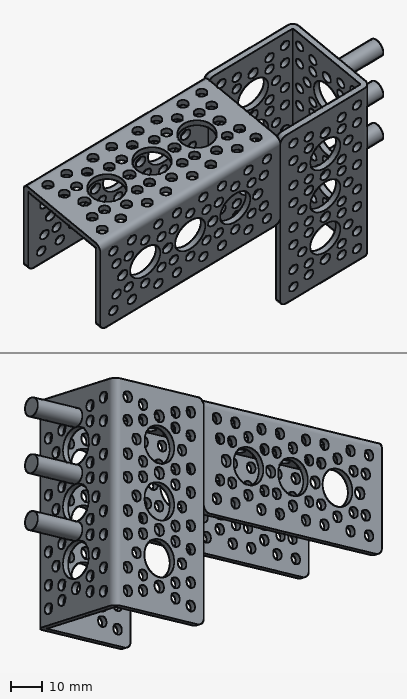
import cadquery as cq

OVERALL_DEPTH = 133.4
PITCH = OVERALL_DEPTH / 7
CHANNEL_WIDTH = 2 * PITCH
CHANNEL_LENGTH = 4 * PITCH
STANDOFF_LENGTH = PITCH
STANDOFF_COUNT = 3

WALL = 2.3
BEND_RADIUS = 2.5
FLANGE_RADIUS = 2.5

BORE_DIAMETER = 2 * PITCH / 3
CENTRE_DIAMETER = 4.0
SMALL_DIAMETER = 3.6
SIDE_COLUMN = 9.7
INNER_COLUMN = 7.0
OUTER_COLUMN = 13.5
BORE_STATIONS = [-PITCH, 0, PITCH]
CENTRE_STATIONS = [-1.5 * PITCH, -0.5 * PITCH, 0.5 * PITCH, 1.5 * PITCH]

STANDOFF_DIAMETER = PITCH / 3
STANDOFF_BORE_DIAMETER = 2.7
STANDOFF_BORE_CHAMFER = 0.4
STANDOFF_BORE_DEPTH = 8.0
DRILL_POINT_DEPTH = 0.8


def small_hole_points():
    """Centres of the small holes as (across the face, along the channel)."""
    points = []
    for side in (-1, 1):
        for station in BORE_STATIONS:
            points.append((side * SIDE_COLUMN, station))
        for column in (INNER_COLUMN, OUTER_COLUMN):
            half_gap = abs(column - PITCH / 2)
            for station in CENTRE_STATIONS:
                points.append((side * column, station - half_gap))
                points.append((side * column, station + half_gap))
    return points


HOLE_GROUPS = [
    (BORE_DIAMETER, [(0, station) for station in BORE_STATIONS]),
    (CENTRE_DIAMETER, [(0, station) for station in CENTRE_STATIONS]),
    (SMALL_DIAMETER, small_hole_points()),
]


def make_channel():
    """Perforated U channel centred on the origin: long axis Z, web at +Y, open to -Y."""
    half_width = CHANNEL_WIDTH / 2
    channel = cq.Workplane("XY").box(CHANNEL_WIDTH, CHANNEL_WIDTH, CHANNEL_LENGTH)
    channel = channel.edges("|Z and >Y").fillet(BEND_RADIUS)

    inside = cq.Workplane("XY").box(CHANNEL_WIDTH - 2 * WALL, CHANNEL_WIDTH, CHANNEL_LENGTH)
    channel = channel.cut(inside.translate((0, -WALL, 0)))
    channel = channel.faces("<Y").edges("|X").fillet(FLANGE_RADIUS)

    for diameter, points in HOLE_GROUPS:
        web_pins = cq.Workplane("XZ").pushPoints(points).circle(diameter / 2).extrude(-half_width)
        flange_pins = cq.Workplane("YZ").pushPoints(points).circle(diameter / 2).extrude(half_width, both=True)
        channel = channel.cut(web_pins).cut(flange_pins)
    return channel


def make_standoff():
    """Round standoff along +Y from the origin, with a chamfered blind hole in its near end."""
    standoff = cq.Workplane("XZ").circle(STANDOFF_DIAMETER / 2).extrude(-STANDOFF_LENGTH)
    bore_radius = STANDOFF_BORE_DIAMETER / 2
    drilled_hole = (
        cq.Workplane("XY")
        .lineTo(bore_radius + STANDOFF_BORE_CHAMFER, 0)
        .lineTo(bore_radius, STANDOFF_BORE_CHAMFER)
        .lineTo(bore_radius, STANDOFF_BORE_DEPTH)
        .lineTo(0, STANDOFF_BORE_DEPTH + DRILL_POINT_DEPTH)
        .close()
        .revolve(360, (0, 0, 0), (0, 1, 0))
    )
    return standoff.cut(drilled_hole)


upright_channel = make_channel()

level_channel = (
    make_channel()
    .rotate((0, 0, 0), (1, 0, 0), 90)
    .translate((0, -(CHANNEL_WIDTH + CHANNEL_LENGTH) / 2, (CHANNEL_LENGTH - CHANNEL_WIDTH) / 2))
)

standoffs = []
for station in CENTRE_STATIONS[-STANDOFF_COUNT:]:
    standoffs.append(make_standoff().translate((0, CHANNEL_WIDTH / 2, station)).val())

result = cq.Compound.makeCompound([upright_channel.val(), level_channel.val(), *standoffs])